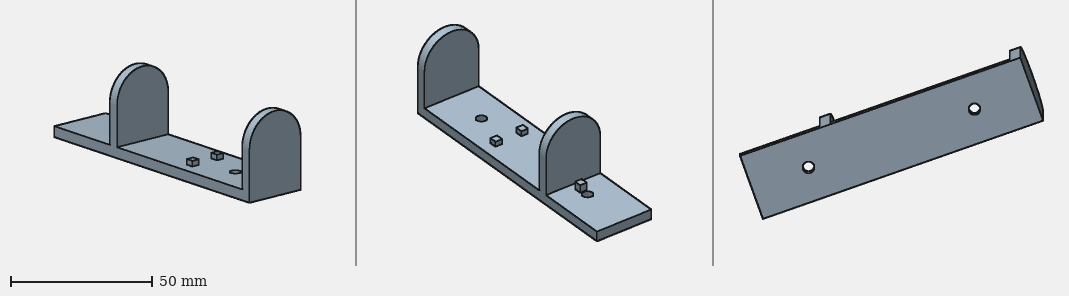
import cadquery as cq

length = 105.5
width = 24.2
base_thickness = 4.1

total_height = 31.8
upright_thickness = 4.0
upright_round_radius = width / 2
middle_upright_x = 30.0
end_upright_x = length - upright_thickness

hole_diameter = 4.1
hole_positions_x = (21.5, 84.0)

peg_side = 3.0
single_peg_height = 3.2
single_peg_x = 25.4
pair_peg_height = 2.1
pair_peg_x = 67.6
pair_peg_spacing = 11.5


def upright(start_x):
    """Plate across the base with a full-width semicircular top."""
    shoulder_z = total_height - upright_round_radius
    return (
        cq.Workplane("YZ", origin=(start_x, 0, 0))
        .moveTo(-width / 2, 0)
        .lineTo(width / 2, 0)
        .lineTo(width / 2, shoulder_z)
        .threePointArc((0, total_height), (-width / 2, shoulder_z))
        .close()
        .extrude(upright_thickness)
    )


def peg(center_x, center_y, height):
    """Square peg rising from the top of the base, rooted in the base."""
    return (
        cq.Workplane("XY")
        .center(center_x, center_y)
        .rect(peg_side, peg_side)
        .extrude(base_thickness + height)
    )


base = cq.Workplane("XY").box(length, width, base_thickness, centered=(False, True, False))
base = (
    base.faces(">Z")
    .workplane(origin=(0, 0, base_thickness))
    .pushPoints([(x, 0) for x in hole_positions_x])
    .hole(hole_diameter)
)

result = base
for upright_x in (middle_upright_x, end_upright_x):
    result = result.union(upright(upright_x))

result = result.union(peg(single_peg_x, 0, single_peg_height))
for side in (-1, 1):
    result = result.union(peg(pair_peg_x, side * pair_peg_spacing / 2, pair_peg_height))